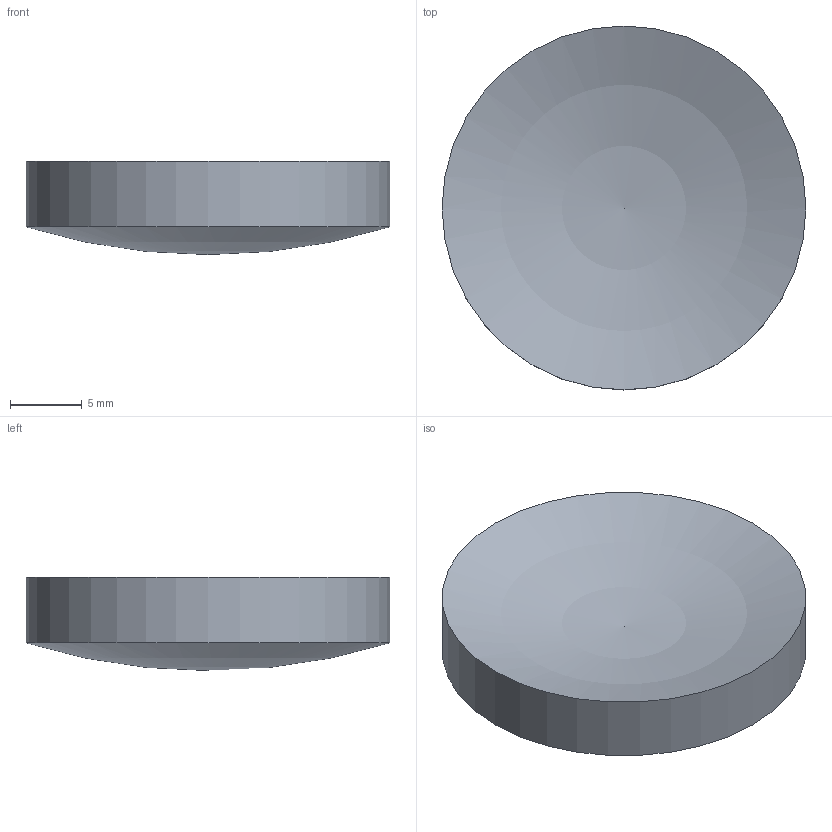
import cadquery as cq
import math

diameter = 25.4
total_height = 6.5
edge_thickness = 4.57
concave_depth = 2.47

radius = diameter / 2
convex_depth = total_height - edge_thickness


def arc_midpoint(depth, rim_height):
    """Point at half the lens radius on a spherical face that sags by depth below its rim."""
    sphere_radius = (radius**2 + depth**2) / (2 * depth)
    center_height = rim_height - depth + sphere_radius
    half_radius = radius / 2
    return half_radius, center_height - math.sqrt(sphere_radius**2 - half_radius**2)


def lens_half_section():
    """Closed section from the optical axis out to the cylindrical edge."""
    return (
        cq.Workplane("YZ")
        .moveTo(0, -convex_depth)
        .threePointArc(arc_midpoint(convex_depth, 0), (radius, 0))
        .lineTo(radius, edge_thickness)
        .threePointArc(arc_midpoint(concave_depth, edge_thickness), (0, edge_thickness - concave_depth))
        .close()
    )


result = lens_half_section().revolve(360, (0, 0, 0), (0, 1, 0))